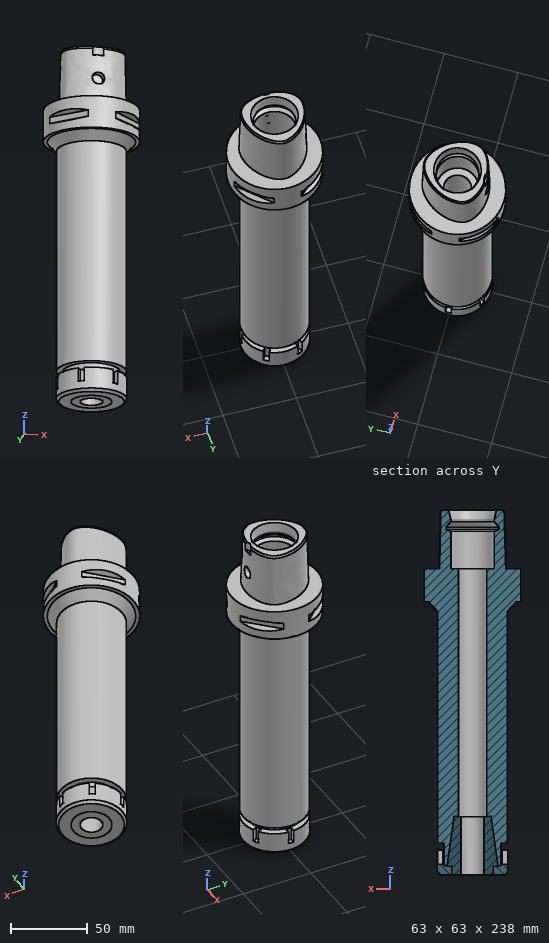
import cadquery as cq
import math

TOTAL_LENGTH = 238.0

SHANK_LENGTH = 38.0
SHANK_BASE_RADIUS = 22.1
LOBE_HEIGHT = 1.5
TAPER_RATIO = 1 / 40
SHANK_CHAMFER_LENGTH = 1.7
SHANK_CHAMFER_INSET = 0.7
OUTLINE_POINTS = 36

FLANGE_DIAMETER = 63.0
FLANGE_RADIUS = FLANGE_DIAMETER / 2
FLANGE_THICKNESS = 21.7
GRIPPER_SLOT_DROP = 12.0
GRIPPER_FLOOR_DISTANCE = 27.8
GRIPPER_FLOOR_HEIGHT = 4.3
GRIPPER_MOUTH_HEIGHT = 7.5
GRIPPER_SLOT_COUNT = 4
GRIPPER_FIRST_ANGLE = 45

BODY_RADIUS = 22.8
CONE_TOP_RADIUS = 28.8
CONE_LENGTH = 6.5
BODY_BOTTOM_Z = 20.7
NOSE_RADIUS = 18.5

MOUTH_RADIUS = 15.5
LIP_RADIUS = 14.0
LIP_TOP_DEPTH = 6.2
LIP_BOTTOM_DEPTH = 7.4
GROOVE_RADIUS = 17.1
GROOVE_TOP_DEPTH = 11.0
GROOVE_BOTTOM_DEPTH = 12.4
GROOVE_FLOOR_DEPTH = 13.8
BORE_RADIUS = 9.16

KEYWAY_RADIUS = 5.2
KEYWAY_WIDTH = 8.3
KEYWAY_DEPTH = 6.2
KEYWAY_INNER_Y = -18.0
SIDE_HOLE_RADIUS = 4.0
SIDE_HOLE_DROP = 22.1
SIDE_HOLE_FLOOR_Y = -14.8

NUT_RADIUS = 23.0
NUT_HEIGHT = 16.2
NUT_FLOOR_THICKNESS = 6.0
NUT_CHAMFER_LENGTH = 2.0
NUT_FACE_RADIUS = 21.5
NUT_SLOT_COUNT = 6
NUT_SLOT_WIDTH = 3.8
NUT_SLOT_BOTTOM_Z = 7.1
NUT_SLOT_FLOOR_RADIUS = 19.5

COLLET_NOSE_RADIUS = 13.3
COLLET_LARGE_RADIUS = 16.5
COLLET_SMALL_RADIUS = 12.0
COLLET_LENGTH = 38.0
COLLET_BORE_RADIUS = 7.4

FLANGE_TOP_Z = TOTAL_LENGTH - SHANK_LENGTH
FLANGE_BOTTOM_Z = FLANGE_TOP_Z - FLANGE_THICKNESS
CONE_BOTTOM_Z = FLANGE_BOTTOM_Z - CONE_LENGTH


def revolve_profile(points):
    """Turn an outline of (radius, z) points about the Z axis."""
    return cq.Workplane("XZ").polyline(points).close().revolve(360, (0, 0), (0, 1))


def lobed_wire(mean_radius, z):
    """Three-lobed outline of constant width, traced from its tangent distance at each angle."""

    def point(t):
        angle = 2 * math.pi * t
        distance = mean_radius + LOBE_HEIGHT * math.cos(3 * angle)
        slope = -3 * LOBE_HEIGHT * math.sin(3 * angle)
        x = distance * math.sin(angle) + slope * math.cos(angle)
        y = distance * math.cos(angle) - slope * math.sin(angle)
        return cq.Vector(x, y, z)

    turns = [i / OUTLINE_POINTS for i in range(OUTLINE_POINTS + 1)]
    points = [point(t) for t in turns[:-1]]
    return cq.Wire.assembleEdges([cq.Edge.makeSpline(points, periodic=True, parameters=turns)])


def lobed_frustum(bottom_radius, bottom_z, top_radius, top_z):
    wires = [lobed_wire(bottom_radius, bottom_z), lobed_wire(top_radius, top_z)]
    return cq.Workplane(cq.Solid.makeLoft(wires, True))


def make_shank():
    """Tapered lobed shank with a chamfered end."""
    chamfer_z = TOTAL_LENGTH - SHANK_CHAMFER_LENGTH
    chamfer_radius = SHANK_BASE_RADIUS - TAPER_RATIO * (chamfer_z - FLANGE_TOP_Z)
    end_radius = chamfer_radius - SHANK_CHAMFER_INSET
    taper = lobed_frustum(SHANK_BASE_RADIUS, FLANGE_TOP_Z, chamfer_radius, chamfer_z)
    return taper.union(lobed_frustum(chamfer_radius, chamfer_z, end_radius, TOTAL_LENGTH))


def make_gripper_slot():
    """V-shaped slot with a flat floor, cut straight across the +X side of the flange."""
    slot_z = FLANGE_TOP_Z - GRIPPER_SLOT_DROP
    half_floor = GRIPPER_FLOOR_HEIGHT / 2
    half_mouth = GRIPPER_MOUTH_HEIGHT / 2
    outline = [
        (GRIPPER_FLOOR_DISTANCE, slot_z - half_floor),
        (FLANGE_RADIUS, slot_z - half_mouth),
        (FLANGE_RADIUS, slot_z + half_mouth),
        (GRIPPER_FLOOR_DISTANCE, slot_z + half_floor),
    ]
    return cq.Workplane("XZ").polyline(outline).close().extrude(FLANGE_RADIUS, both=True)


def make_keyway():
    """Upright round-backed notch in the end of the shank."""
    bottom_z = TOTAL_LENGTH - KEYWAY_DEPTH
    plane = cq.Workplane("XY", origin=(0, KEYWAY_INNER_Y - KEYWAY_RADIUS, bottom_z))
    cylinder = plane.circle(KEYWAY_RADIUS).extrude(KEYWAY_DEPTH)
    width_limit = plane.rect(KEYWAY_WIDTH, 2 * KEYWAY_RADIUS).extrude(KEYWAY_DEPTH)
    return cylinder.intersect(width_limit)


def make_side_hole():
    """Blind round hole running in +Y from the outside of the shank."""
    hole_z = TOTAL_LENGTH - SIDE_HOLE_DROP
    length = FLANGE_RADIUS + SIDE_HOLE_FLOOR_Y
    return (
        cq.Workplane("XZ", origin=(0, SIDE_HOLE_FLOOR_Y, hole_z))
        .circle(SIDE_HOLE_RADIUS)
        .extrude(length)
    )


def make_bore():
    """Stepped bore of the shank with a clamping groove under its lip, open down to the collet."""
    return revolve_profile([
        (0, COLLET_LENGTH),
        (BORE_RADIUS, COLLET_LENGTH),
        (BORE_RADIUS, FLANGE_TOP_Z),
        (LIP_RADIUS, FLANGE_TOP_Z),
        (LIP_RADIUS, TOTAL_LENGTH - GROOVE_FLOOR_DEPTH),
        (GROOVE_RADIUS, TOTAL_LENGTH - GROOVE_BOTTOM_DEPTH),
        (GROOVE_RADIUS, TOTAL_LENGTH - GROOVE_TOP_DEPTH),
        (LIP_RADIUS, TOTAL_LENGTH - LIP_BOTTOM_DEPTH),
        (LIP_RADIUS, TOTAL_LENGTH - LIP_TOP_DEPTH),
        (MOUTH_RADIUS, TOTAL_LENGTH),
        (0, TOTAL_LENGTH),
    ])


def make_collet_seat():
    """Taper in the nose that matches the outside of the collet."""
    return revolve_profile([
        (0, NUT_FLOOR_THICKNESS),
        (COLLET_LARGE_RADIUS, NUT_FLOOR_THICKNESS),
        (COLLET_SMALL_RADIUS, COLLET_LENGTH),
        (0, COLLET_LENGTH),
    ])


def make_holder():
    holder = revolve_profile([
        (0, NUT_FLOOR_THICKNESS),
        (NOSE_RADIUS, NUT_FLOOR_THICKNESS),
        (NOSE_RADIUS, BODY_BOTTOM_Z),
        (BODY_RADIUS, BODY_BOTTOM_Z),
        (BODY_RADIUS, CONE_BOTTOM_Z),
        (CONE_TOP_RADIUS, FLANGE_BOTTOM_Z),
        (FLANGE_RADIUS, FLANGE_BOTTOM_Z),
        (FLANGE_RADIUS, FLANGE_TOP_Z),
        (0, FLANGE_TOP_Z),
    ])
    holder = holder.union(make_shank())
    for i in range(GRIPPER_SLOT_COUNT):
        angle = GRIPPER_FIRST_ANGLE + i * 360 / GRIPPER_SLOT_COUNT
        holder = holder.cut(make_gripper_slot().rotate((0, 0, 0), (0, 0, 1), angle))
    holder = holder.cut(make_keyway()).cut(make_side_hole())
    return holder.cut(make_bore()).cut(make_collet_seat())


def make_nut_slot():
    """Spanner slot on the +X side, open at the top of the nut."""
    slot_depth = NUT_RADIUS - NUT_SLOT_FLOOR_RADIUS
    slot_height = NUT_HEIGHT - NUT_SLOT_BOTTOM_Z
    return (
        cq.Workplane("XY", origin=(NUT_SLOT_FLOOR_RADIUS, 0, NUT_SLOT_BOTTOM_Z))
        .box(slot_depth, NUT_SLOT_WIDTH, slot_height, centered=(False, True, False))
    )


def make_nut():
    """Cup-shaped nut around the nose, with the collet passing through its floor."""
    nut = revolve_profile([
        (COLLET_NOSE_RADIUS, 0),
        (NUT_FACE_RADIUS, 0),
        (NUT_RADIUS, NUT_CHAMFER_LENGTH),
        (NUT_RADIUS, NUT_HEIGHT),
        (NOSE_RADIUS, NUT_HEIGHT),
        (NOSE_RADIUS, NUT_FLOOR_THICKNESS),
        (COLLET_NOSE_RADIUS, NUT_FLOOR_THICKNESS),
    ])
    for i in range(NUT_SLOT_COUNT):
        angle = i * 360 / NUT_SLOT_COUNT
        nut = nut.cut(make_nut_slot().rotate((0, 0, 0), (0, 0, 1), angle))
    return nut


def make_collet():
    """Tapered sleeve whose nose is flush with the nut face."""
    return revolve_profile([
        (COLLET_BORE_RADIUS, 0),
        (COLLET_NOSE_RADIUS, 0),
        (COLLET_NOSE_RADIUS, NUT_FLOOR_THICKNESS),
        (COLLET_LARGE_RADIUS, NUT_FLOOR_THICKNESS),
        (COLLET_SMALL_RADIUS, COLLET_LENGTH),
        (COLLET_BORE_RADIUS, COLLET_LENGTH),
    ])


holder = make_holder()
nut = make_nut()
collet = make_collet()

result = cq.Compound.makeCompound([holder.val(), nut.val(), collet.val()])